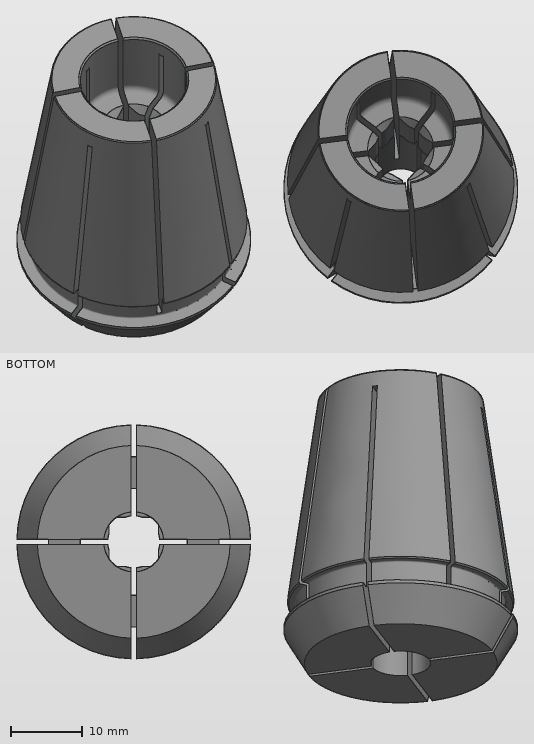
import cadquery as cq
import math

height = 40.0
taper_angle = 8.0
nose_angle = 30.0

flange_radius = 16.4
flange_top = 5.5
flange_rim = 0.5
groove_radius = 14.7
groove_top = 9.1
groove_fillet = 0.2
taper_base_radius = 15.9
taper_base = 9.6
taper_base_chamfer = 0.2
top_chamfer = 0.15

bore_radius = 7.5
bore_floor = 29.1
bore_fillet = 0.8
bore_chamfer = 0.25
lead_in_radius = 4.65
pilot_radius = 3.65
square_side = 6.9
square_depth = 10.0
square_bottom = bore_floor - square_depth
shank_radius = 4.2

slot_width = 0.7
slot_count = 4
lower_slot_top = 37.5
blade_overrun = 0.8
upper_slot_bottom = 6.1


def make_body():
    """Solid of revolution: nose cone, flange, groove and clamping taper."""
    rim_bottom = flange_top - flange_rim
    nose_radius = flange_radius - rim_bottom * math.tan(math.radians(nose_angle))
    taper_slope = math.tan(math.radians(taper_angle))
    taper_top = height - top_chamfer
    taper_top_radius = taper_base_radius - (taper_top - taper_base) * taper_slope
    return (
        cq.Workplane("XZ")
        .lineTo(nose_radius, 0)
        .lineTo(flange_radius, rim_bottom)
        .lineTo(flange_radius, flange_top)
        .lineTo(groove_radius + groove_fillet, flange_top)
        .radiusArc((groove_radius, flange_top + groove_fillet), groove_fillet)
        .lineTo(groove_radius, groove_top - groove_fillet)
        .radiusArc((groove_radius + groove_fillet, groove_top), groove_fillet)
        .lineTo(taper_base_radius - taper_base_chamfer, groove_top)
        .lineTo(taper_base_radius, groove_top + taper_base_chamfer)
        .lineTo(taper_base_radius, taper_base)
        .lineTo(taper_top_radius, taper_top)
        .lineTo(taper_top_radius - top_chamfer, height)
        .lineTo(0, height)
        .close()
        .revolve(360, (0, 0), (0, 1))
    )


def make_round_hole():
    """Bore, lead-in cone, pilot and shank hole as one solid of revolution."""
    lead_in_bottom = bore_floor - (lead_in_radius - pilot_radius)
    return (
        cq.Workplane("XZ")
        .lineTo(shank_radius, 0)
        .lineTo(shank_radius, square_bottom)
        .lineTo(pilot_radius, square_bottom)
        .lineTo(pilot_radius, lead_in_bottom)
        .lineTo(lead_in_radius, bore_floor)
        .lineTo(bore_radius - bore_fillet, bore_floor)
        .radiusArc((bore_radius, bore_floor + bore_fillet), -bore_fillet)
        .lineTo(bore_radius, height - bore_chamfer)
        .lineTo(bore_radius + bore_chamfer, height)
        .lineTo(0, height)
        .close()
        .revolve(360, (0, 0), (0, 1))
    )


def make_square_hole():
    """Square drive hole between the shank hole and the bore floor."""
    return (
        cq.Workplane("XY")
        .workplane(offset=square_bottom)
        .rect(square_side, square_side)
        .extrude(square_depth)
    )


def make_slots(bottom, top, first_angle):
    """Radial slots at equal angles, made as blades that cross the axis."""
    blade_length = 2 * (flange_radius + blade_overrun)
    slots = cq.Workplane()
    for index in range(slot_count // 2):
        angle = first_angle + index * 360 / slot_count
        blade = (
            cq.Workplane("XY")
            .workplane(offset=bottom)
            .rect(blade_length, slot_width)
            .extrude(top - bottom)
            .rotate((0, 0, 0), (0, 0, 1), angle)
        )
        slots = slots.union(blade)
    return slots


result = (
    make_body()
    .cut(make_round_hole())
    .cut(make_square_hole())
    .cut(make_slots(0, lower_slot_top, 0))
    .cut(make_slots(upper_slot_bottom, height, 180 / slot_count))
)